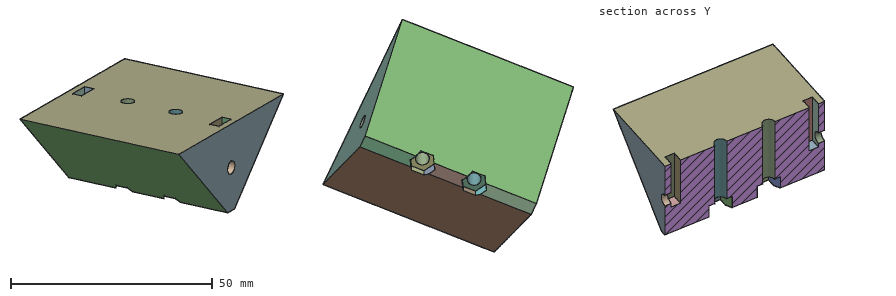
import cadquery as cq
import math

width = 46.5
depth = 49.5
height = 23.1
ridge_flat = depth - 2 * height

hole_diameter = 3.4
hole_spacing = 14.0
nut_across_flats = 5.8
nut_across_corners = nut_across_flats / math.cos(math.pi / 6)
nut_pocket_depth = 3.7

slot_inset = 1.85
slot_thickness = 2.65
slot_length = nut_across_flats
end_hole_z = -height / 2
slot_depth = -end_hole_z + slot_length / 2
end_hole_depth = slot_inset + slot_thickness


def wedge():
    return (
        cq.Workplane("YZ")
        .polyline([
            (-depth / 2, 0),
            (depth / 2, 0),
            (ridge_flat / 2, -height),
            (-ridge_flat / 2, -height),
        ])
        .close()
        .extrude(width / 2, both=True)
    )


def screw_hole_with_nut(x):
    hole = cq.Workplane("XY").center(x, 0).circle(hole_diameter / 2).extrude(-height)
    pocket = (
        cq.Workplane("XY", origin=(x, 0, -height))
        .polygon(6, nut_across_corners)
        .extrude(nut_pocket_depth)
    )
    return hole.union(pocket)


def end_fastening(side):
    slot_x = side * (width / 2 - slot_inset - slot_thickness / 2)
    slot = cq.Workplane("XY").center(slot_x, 0).rect(slot_thickness, slot_length).extrude(-slot_depth)
    hole = (
        cq.Workplane("YZ", origin=(side * width / 2, 0, end_hole_z))
        .circle(hole_diameter / 2)
        .extrude(-side * end_hole_depth)
    )
    return slot.union(hole)


result = wedge()
for side in (-1, 1):
    result = result.cut(screw_hole_with_nut(side * hole_spacing / 2))
    result = result.cut(end_fastening(side))